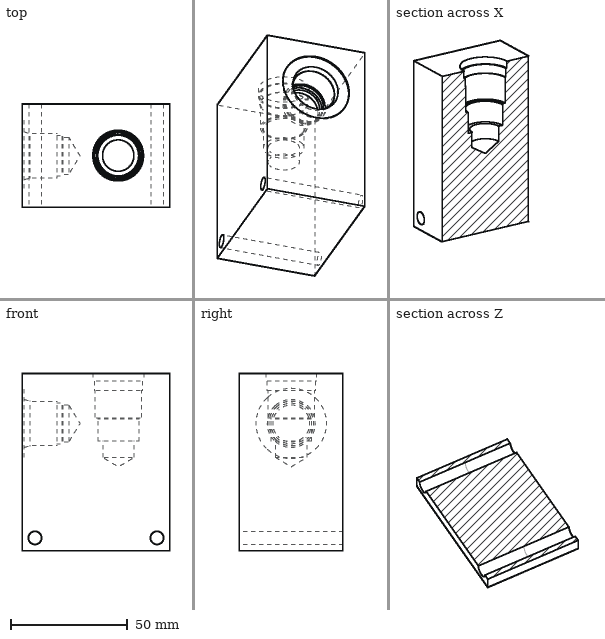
import cadquery as cq
import math

LENGTH = 63.5
WIDTH = 44.45
HEIGHT = 76.2

MOUNT_DIA = 5.56
MOUNT_EDGE = 5.56

DRILL_POINT_ANGLE = 118.0

CAVITY_X = 9.525
CAVITY_MOUTH_DIA = 21.82
CAVITY_MOUTH_DEPTH = 3.175
CAVITY_THREAD_DIA = 20.62
CAVITY_THREAD_DEPTH = 7.2
CAVITY_RELIEF_DIA = 19.99
CAVITY_RELIEF_DEPTH = 19.0
CAVITY_SEAT_DIA = 18.54
CAVITY_BORE_DIA = 17.5
CAVITY_BORE_DEPTH = 29.0
CAVITY_DRILL_DIA = 13.49
CAVITY_DRILL_DEPTH = 36.0

PORT_BELOW_TOP = 21.43
PORT_SPOTFACE_DIA = 30.25
PORT_SPOTFACE_DEPTH = 0.79
PORT_CONE_DIA = 20.62
PORT_CONE_END_DIA = 19.25
PORT_CONE_LENGTH = 2.54
PORT_THREAD_DIA = 19.05
PORT_THREAD_DEPTH = 15.0
PORT_TAP_DRILL_DIA = 17.45
PORT_TAP_DRILL_DEPTH = 17.0
PORT_DRILL_DIA = 15.88
PORT_DRILL_DEPTH = 20.0


def drill_point_length(start_dia, end_dia=0.0):
    """Axial length of a drill-point cone between two diameters."""
    return (start_dia - end_dia) / 2 / math.tan(math.radians(DRILL_POINT_ANGLE / 2))


def stepped_bore(steps):
    """Solid of revolution about Z, going down from z = 0.

    Each step is (diameter, depth); consecutive steps are joined by straight lines.
    """
    profile = cq.Workplane("XZ").moveTo(0, -steps[0][1])
    for diameter, depth in steps:
        profile = profile.lineTo(diameter / 2, -depth)
    return profile.close().revolve(360, (0, 0, 0), (0, 1, 0))


def make_block():
    return cq.Workplane("XY").box(LENGTH, WIDTH, HEIGHT)


def make_mounting_holes():
    offset_x = LENGTH / 2 - MOUNT_EDGE
    offset_z = MOUNT_EDGE - HEIGHT / 2
    return (
        cq.Workplane("XZ")
        .pushPoints([(-offset_x, offset_z), (offset_x, offset_z)])
        .circle(MOUNT_DIA / 2)
        .extrude(WIDTH, both=True)
    )


def make_cavity():
    seat_end_depth = CAVITY_RELIEF_DEPTH + (CAVITY_SEAT_DIA - CAVITY_BORE_DIA) / 2
    tip_depth = CAVITY_DRILL_DEPTH + drill_point_length(CAVITY_DRILL_DIA)
    bore = stepped_bore([
        (CAVITY_MOUTH_DIA, 0),
        (CAVITY_MOUTH_DIA, CAVITY_MOUTH_DEPTH),
        (CAVITY_THREAD_DIA, CAVITY_MOUTH_DEPTH),
        (CAVITY_THREAD_DIA, CAVITY_THREAD_DEPTH),
        (CAVITY_RELIEF_DIA, CAVITY_THREAD_DEPTH),
        (CAVITY_RELIEF_DIA, CAVITY_RELIEF_DEPTH),
        (CAVITY_SEAT_DIA, CAVITY_RELIEF_DEPTH),
        (CAVITY_BORE_DIA, seat_end_depth),
        (CAVITY_BORE_DIA, CAVITY_BORE_DEPTH),
        (CAVITY_DRILL_DIA, CAVITY_BORE_DEPTH),
        (CAVITY_DRILL_DIA, CAVITY_DRILL_DEPTH),
        (0, tip_depth),
    ])
    return bore.translate((CAVITY_X, 0, HEIGHT / 2))


def make_port():
    cone_end_depth = PORT_SPOTFACE_DEPTH + PORT_CONE_LENGTH
    tap_drill_tip_depth = PORT_TAP_DRILL_DEPTH + drill_point_length(PORT_TAP_DRILL_DIA, PORT_DRILL_DIA)
    tip_depth = PORT_DRILL_DEPTH + drill_point_length(PORT_DRILL_DIA)
    bore = stepped_bore([
        (PORT_SPOTFACE_DIA, 0),
        (PORT_SPOTFACE_DIA, PORT_SPOTFACE_DEPTH),
        (PORT_CONE_DIA, PORT_SPOTFACE_DEPTH),
        (PORT_CONE_END_DIA, cone_end_depth),
        (PORT_THREAD_DIA, cone_end_depth),
        (PORT_THREAD_DIA, PORT_THREAD_DEPTH),
        (PORT_TAP_DRILL_DIA, PORT_THREAD_DEPTH),
        (PORT_TAP_DRILL_DIA, PORT_TAP_DRILL_DEPTH),
        (PORT_DRILL_DIA, tap_drill_tip_depth),
        (PORT_DRILL_DIA, PORT_DRILL_DEPTH),
        (0, tip_depth),
    ])
    bore = bore.rotate((0, 0, 0), (0, 1, 0), -90)
    return bore.translate((-LENGTH / 2, 0, HEIGHT / 2 - PORT_BELOW_TOP))


result = make_block().cut(make_mounting_holes()).cut(make_cavity()).cut(make_port())